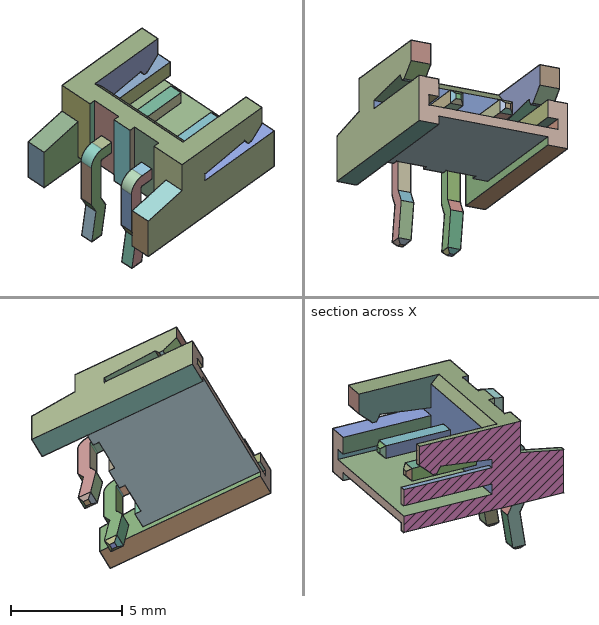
import cadquery as cq
import math


HOUSING_WIDTH = 7.5
HOUSING_DEPTH = 8.2
HOUSING_HEIGHT = 4.2
SIDE_THICKNESS = 1.0
INNER_WIDTH = HOUSING_WIDTH - 2 * SIDE_THICKNESS

RAIL_TOP = 2.2
FOOT_SLOPE_TOP = 2.6
WALL_FRONT = 2.2
WALL_BACK = 3.7
ARM_END = 7.4
ARM_END_BOTTOM = 3.2
SLOT_ROOT_TOP = 2.6
SLOT_PEAK_Y = 6.3
SLOT_PEAK_Z = 2.9
HOOK_BOTTOM = 2.57
HOOK_FRONT = 6.5
HOOK_BACK = 6.7

FLOOR_BOTTOM = 0.4
FLOOR_TOP = 0.85
WALL_CHAMFER = 0.4
RECESS_WIDTH = 1.5
RECESS_DEPTH = 0.3

GROOVE_HEIGHT = 0.5
GROOVE_DEPTH = 0.5

PIN_COUNT = 2
PIN_PITCH = 2.5
PIN_SIZE = 0.64
PIN_TOP = 2.31
PIN_LEG_FRONT = 1.175
PIN_LEG_BACK = PIN_LEG_FRONT + PIN_SIZE
PIN_BEND_RADIUS = 0.7
PIN_INNER_RADIUS = PIN_BEND_RADIUS - PIN_SIZE
PIN_SHOULDER_Y = 7.0
KINK_TOP = -0.68
KINK_BOTTOM = -1.28
KINK_OFFSET = 0.3
PIN_SHOULDER_Z = -3.0
FOOT_RETURN = 0.27
TIP_LENGTH = 0.2
TIP_SIZE = 0.26
TIP_DRIFT = FOOT_RETURN * TIP_LENGTH / (KINK_BOTTOM - PIN_SHOULDER_Z)

PIN_POSITIONS = [(i - (PIN_COUNT - 1) / 2) * PIN_PITCH for i in range(PIN_COUNT)]


def extrude_along_x(profile, x_start, width):
    """Extrude a YZ profile towards +X from x_start."""
    return profile.extrude(width).translate((x_start, 0, 0))


def box(x_center, width, y_range, z_range):
    """Box centred on x_center and spanning the given Y and Z ranges."""
    depth = y_range[1] - y_range[0]
    height = z_range[1] - z_range[0]
    block = cq.Workplane("XY").box(width, depth, height, centered=(True, False, False))
    return block.translate((x_center, y_range[0], z_range[0]))


def make_side(x_start):
    """Side wall with its sloping foot, rail, slot and hooked latch arm."""
    profile = cq.Workplane("YZ").polyline([
        (0, 0),
        (HOUSING_DEPTH, 0),
        (HOUSING_DEPTH, RAIL_TOP),
        (WALL_BACK, RAIL_TOP),
        (WALL_BACK, SLOT_ROOT_TOP),
        (SLOT_PEAK_Y, SLOT_PEAK_Z),
        (HOOK_FRONT, HOOK_BOTTOM),
        (HOOK_BACK, HOOK_BOTTOM),
        (ARM_END, ARM_END_BOTTOM),
        (ARM_END, HOUSING_HEIGHT),
        (WALL_FRONT, HOUSING_HEIGHT),
        (WALL_FRONT, FOOT_SLOPE_TOP),
        (0, RAIL_TOP),
    ]).close()
    return extrude_along_x(profile, x_start, SIDE_THICKNESS)


def make_center():
    """Cross wall with a chamfered top rear edge, and the floor behind it."""
    profile = cq.Workplane("YZ").polyline([
        (WALL_FRONT, FLOOR_BOTTOM),
        (HOUSING_DEPTH, FLOOR_BOTTOM),
        (HOUSING_DEPTH, FLOOR_TOP),
        (WALL_BACK, FLOOR_TOP),
        (WALL_BACK, HOUSING_HEIGHT - WALL_CHAMFER),
        (WALL_BACK - WALL_CHAMFER, HOUSING_HEIGHT),
        (WALL_FRONT, HOUSING_HEIGHT),
    ]).close()
    return extrude_along_x(profile, -INNER_WIDTH / 2, INNER_WIDTH)


def make_recess(x):
    """Full-height cutter for the shallow recess around a pin."""
    return box(x, RECESS_WIDTH, (WALL_FRONT, WALL_FRONT + RECESS_DEPTH), (0, HOUSING_HEIGHT))


def make_guide_grooves():
    """Cutter spanning the floor and reaching into both rails as grooves open at the rear."""
    groove_span = INNER_WIDTH + 2 * GROOVE_DEPTH
    return box(0, groove_span, (WALL_BACK, HOUSING_DEPTH), (FLOOR_TOP, FLOOR_TOP + GROOVE_HEIGHT))


def make_tip(plane, end_shift):
    """Square taper from the pin section to its blunt end along the plane normal."""
    taper = cq.Workplane(plane).rect(PIN_SIZE, PIN_SIZE).workplane(offset=TIP_LENGTH)
    return taper.center(0, end_shift).rect(TIP_SIZE, TIP_SIZE).loft(ruled=True)


def make_pin(x):
    """Square pin: straight contact, right-angle bend and kinked solder leg."""
    diagonal = math.sqrt(0.5)
    bend_y = PIN_LEG_FRONT + PIN_BEND_RADIUS
    bend_z = PIN_TOP - PIN_BEND_RADIUS
    pin_bottom = PIN_TOP - PIN_SIZE
    outer_mid = (bend_y - PIN_BEND_RADIUS * diagonal, bend_z + PIN_BEND_RADIUS * diagonal)
    inner_mid = (bend_y - PIN_INNER_RADIUS * diagonal, bend_z + PIN_INNER_RADIUS * diagonal)
    foot_front = PIN_LEG_FRONT + KINK_OFFSET - FOOT_RETURN
    profile = (
        cq.Workplane("YZ")
        .moveTo(PIN_SHOULDER_Y, PIN_TOP)
        .lineTo(bend_y, PIN_TOP)
        .threePointArc(outer_mid, (PIN_LEG_FRONT, bend_z))
        .lineTo(PIN_LEG_FRONT, KINK_TOP)
        .lineTo(PIN_LEG_FRONT + KINK_OFFSET, KINK_BOTTOM)
        .lineTo(foot_front, PIN_SHOULDER_Z)
        .lineTo(foot_front + PIN_SIZE, PIN_SHOULDER_Z)
        .lineTo(PIN_LEG_BACK + KINK_OFFSET, KINK_BOTTOM)
        .lineTo(PIN_LEG_BACK, KINK_TOP)
        .lineTo(PIN_LEG_BACK, bend_z)
        .threePointArc(inner_mid, (bend_y, pin_bottom))
        .lineTo(PIN_SHOULDER_Y, pin_bottom)
        .close()
    )
    pin = extrude_along_x(profile, x - PIN_SIZE / 2, PIN_SIZE)
    contact_center = (x, PIN_SHOULDER_Y, PIN_TOP - PIN_SIZE / 2)
    foot_center = (x, foot_front + PIN_SIZE / 2, PIN_SHOULDER_Z)
    contact_tip = make_tip(cq.Plane(contact_center, xDir=(1, 0, 0), normal=(0, 1, 0)), 0)
    foot_tip = make_tip(cq.Plane(foot_center, xDir=(1, 0, 0), normal=(0, 0, -1)), TIP_DRIFT)
    return pin.union(contact_tip).union(foot_tip)


housing = make_center()
for side_start in (-HOUSING_WIDTH / 2, INNER_WIDTH / 2):
    housing = housing.union(make_side(side_start))
housing = housing.cut(make_guide_grooves())
for pin_x in PIN_POSITIONS:
    housing = housing.cut(make_recess(pin_x))

result = housing
for pin_x in PIN_POSITIONS:
    result = result.union(make_pin(pin_x))